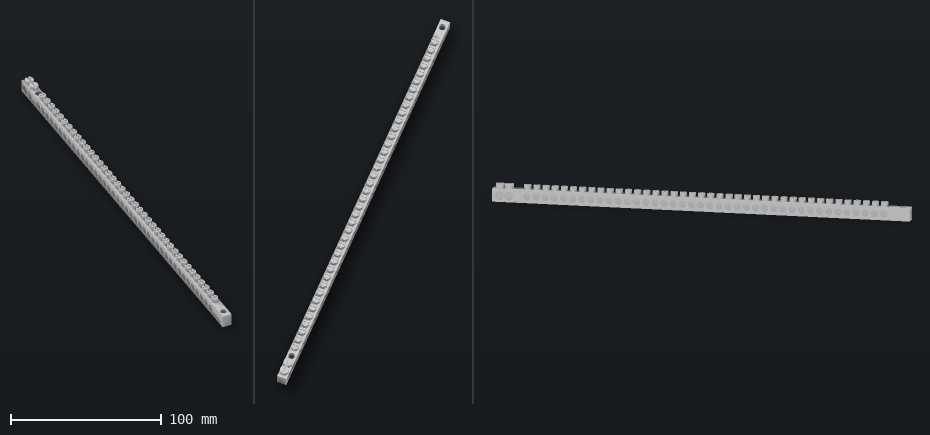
import cadquery as cq

bar_length = 285.0
bar_width = 6.5
bar_height = 9.0
overall_height = 12.0
screw_height = overall_height - bar_height

pitch = 6.25
first_station = 4.8
large_stations = range(0, 2)
small_stations = range(3, 43)
mounting_stations = (2, 44)

wire_axis_height = 4.25
wire_hole_depth = 0.6
large_wire_diameter = 6.0
small_wire_diameter = 4.8
large_screw_diameter = 6.0
small_screw_diameter = 4.8
slot_width = 1.0
slot_depth = 1.0
cross_arm_length = 4.4
mounting_hole_diameter = 4.5


def station_x(station):
    """X position of a numbered station."""
    return first_station + station * pitch


def make_bar():
    """Plain bar, centred across its width."""
    return cq.Workplane("XY").box(bar_length, bar_width, bar_height, centered=(False, True, False))


def make_wire_hole(x, diameter):
    """Cutter for a shallow round wire entry, sunk inward from the front face."""
    front_face = cq.Plane((x, -bar_width / 2, wire_axis_height), xDir=(0, 0, 1), normal=(0, -1, 0))
    return cq.Workplane(front_face).circle(diameter / 2).extrude(-wire_hole_depth)


def make_head(x, diameter):
    """Plain round screw head standing on the bar."""
    bar_top = cq.Plane((x, 0, bar_height), xDir=(0, 1, 0))
    return cq.Workplane(bar_top).circle(diameter / 2).extrude(screw_height)


def make_slot(x, length_x, length_y):
    """Rectangular cutter sunk into the top of a screw head."""
    return cq.Workplane("XY", origin=(x, 0, overall_height)).rect(length_x, length_y).extrude(-slot_depth)


def make_slotted_screw(x):
    """Large screw with one slot running right across it along X."""
    return make_head(x, large_screw_diameter).cut(make_slot(x, large_screw_diameter, slot_width))


def make_cross_screw(x):
    """Small screw with a slot along X, crossed by a shorter one along Y."""
    head = make_head(x, small_screw_diameter)
    head = head.cut(make_slot(x, small_screw_diameter, slot_width))
    return head.cut(make_slot(x, slot_width, cross_arm_length))


def add_terminals(body, stations, wire_diameter, make_screw):
    """Add a wire entry and a clamping screw at each station."""
    positions = [station_x(station) for station in stations]
    wire_holes = [make_wire_hole(x, wire_diameter).val() for x in positions]
    screws = [make_screw(x).val() for x in positions]
    drilled_body = body.cut(*wire_holes)
    return drilled_body.fuse(*screws)


def cut_mounting_holes(body):
    """Drill the vertical mounting holes through the bar."""
    centres = [(station_x(station), 0) for station in mounting_stations]
    holes = cq.Workplane("XY").pushPoints(centres).circle(mounting_hole_diameter / 2).extrude(bar_height)
    return body.cut(holes)


bar = make_bar().val()
bar = add_terminals(bar, large_stations, large_wire_diameter, make_slotted_screw)
bar = add_terminals(bar, small_stations, small_wire_diameter, make_cross_screw)
result = cut_mounting_holes(cq.Workplane("XY").newObject([bar])).solids()